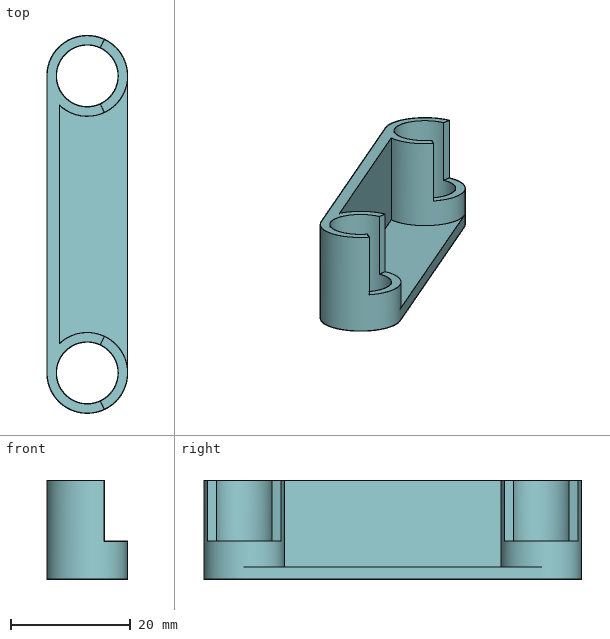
import cadquery as cq
import math

length = 63.0
width = 13.5
height = 16.5

outer_radius = width / 2
hole_diameter = 10.3
ring_spacing = length - width
lower_ring_height = 6.35
opening_half_angle = 65.0

wall_thickness = 2.1
floor_thickness = wall_thickness

ring_centers = [(0, -ring_spacing / 2), (0, ring_spacing / 2)]


def rounded_slab(slab_height):
    """Full-length slab with semicircular ends."""
    return cq.Workplane("XY").slot2D(length, width, 90).extrude(slab_height)


def side_wall():
    """Full-height wall along -X, joining the two rings."""
    return cq.Workplane("XY").box(
        wall_thickness, ring_spacing, height, centered=(False, True, False)
    ).translate((-outer_radius, 0, 0))


def ring_opening():
    """Wedges with radial sides that open the upper part of each ring toward +X."""
    reach = width
    half_opening = reach * math.tan(math.radians(opening_half_angle))
    wedges = cq.Workplane("XY").workplane(offset=lower_ring_height)
    for x, y in ring_centers:
        wedges = (
            wedges.moveTo(x, y)
            .lineTo(x + reach, y - half_opening)
            .lineTo(x + reach, y + half_opening)
            .close()
        )
    return wedges.extrude(height - lower_ring_height)


def cylinders(radius):
    """One full-height cylinder on each ring axis."""
    return cq.Workplane("XY").pushPoints(ring_centers).circle(radius).extrude(height)


rings = cylinders(outer_radius).cut(ring_opening())
result = (
    rounded_slab(floor_thickness)
    .union(side_wall())
    .union(rings)
    .cut(cylinders(hole_diameter / 2))
)